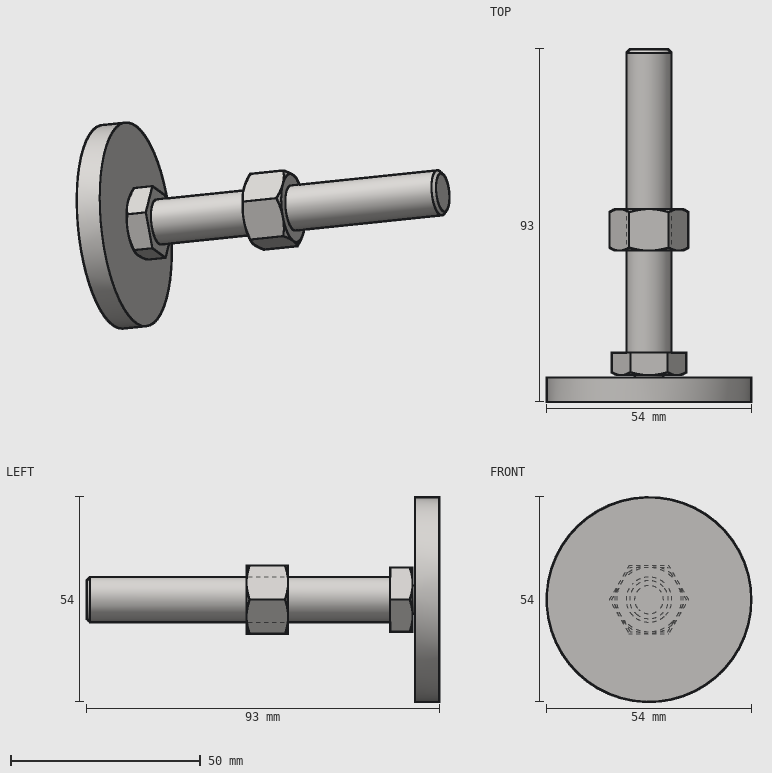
import cadquery as cq
import math

TOTAL_LENGTH = 93.0

PAD_DIAMETER = 54.0
PAD_THICKNESS = 6.5

ROD_DIAMETER = 12.0
ROD_TIP_CHAMFER = 0.9

NECK_DIAMETER = 7.5
NECK_LENGTH = 0.6

FOOT_HEX_ACROSS_FLATS = 17.0
FOOT_HEX_HEIGHT = 5.95

NUT_ACROSS_FLATS = 18.0
NUT_HEIGHT = 11.0
NUT_START = 39.9

HEX_CHAMFER_ANGLE = 30.0

foot_hex_start = PAD_THICKNESS + NECK_LENGTH
foot_hex_end = foot_hex_start + FOOT_HEX_HEIGHT


def cylinder(diameter, start, end):
    """Cylinder on the Y axis between two stations."""
    plane = cq.Workplane("XZ", origin=(0, start, 0))
    return plane.circle(diameter / 2).extrude(start - end)


def chamfered_hex(across_flats, start, height, chamfer_far_end):
    """Hexagon on the Y axis, corners on +-X, with conical end chamfers tangent to its flats."""
    across_corners = across_flats / math.cos(math.pi / 6)
    plane = cq.Workplane("XZ", origin=(0, start, 0))
    prism = plane.polygon(6, across_corners).extrude(-height)

    flat_radius = across_flats / 2
    corner_radius = across_corners / 2
    drop = (corner_radius - flat_radius) * math.tan(math.radians(HEX_CHAMFER_ANGLE))
    end = start + height
    profile = cq.Workplane("XY").moveTo(0, start).lineTo(flat_radius, start)
    profile = profile.lineTo(corner_radius, start + drop)
    if chamfer_far_end:
        profile = profile.lineTo(corner_radius, end - drop).lineTo(flat_radius, end)
    else:
        profile = profile.lineTo(corner_radius, end)
    envelope = profile.lineTo(0, end).close().revolve(360, (0, 0, 0), (0, 1, 0))
    return prism.intersect(envelope)


def make_pad():
    """Plain round pad that stands on the floor."""
    return cylinder(PAD_DIAMETER, 0, PAD_THICKNESS)


def make_stud():
    """Rod with a hexagonal foot and a short neck that rests on the pad."""
    neck = cylinder(NECK_DIAMETER, PAD_THICKNESS, foot_hex_start)
    foot_hex = chamfered_hex(FOOT_HEX_ACROSS_FLATS, foot_hex_start, FOOT_HEX_HEIGHT, False)
    rod = cylinder(ROD_DIAMETER, foot_hex_end, TOTAL_LENGTH)
    rod = rod.faces(">Y").chamfer(ROD_TIP_CHAMFER)
    return neck.union(foot_hex).union(rod)


def make_nut():
    """Lock nut, chamfered at both ends, bored to fit the rod."""
    nut = chamfered_hex(NUT_ACROSS_FLATS, NUT_START, NUT_HEIGHT, True)
    return nut.cut(cylinder(ROD_DIAMETER, NUT_START, NUT_START + NUT_HEIGHT))


pad = make_pad()
stud = make_stud()
nut = make_nut()

result = cq.Compound.makeCompound([pad.val(), stud.val(), nut.val()])